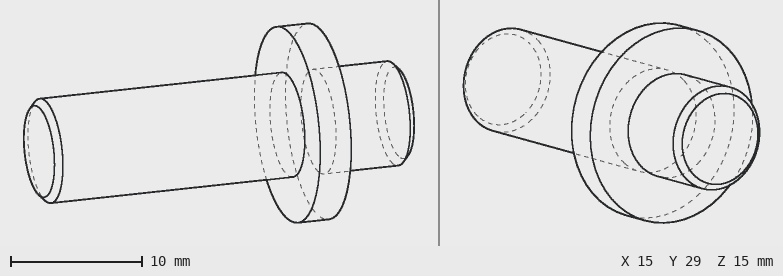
import cadquery as cq

pin_diameter = 8.0
collar_diameter = 15.0
collar_thickness = 2.5
front_length = 20.0
back_length = 6.5
end_chamfer = 0.5


def cylinder_along_y(diameter, y_start, length):
    """Solid cylinder on the Y axis, growing from y_start toward +Y."""
    base = cq.Workplane("XZ", origin=(0, y_start, 0))
    return base.circle(diameter / 2).extrude(-length)


def make_pin():
    """Full-length pin with both ends chamfered."""
    length = front_length + collar_thickness + back_length
    pin = cylinder_along_y(pin_diameter, -front_length, length)
    return pin.faces("<Y or >Y").chamfer(end_chamfer)


def make_collar():
    """Plain disc whose front face lies at Y = 0."""
    return cylinder_along_y(collar_diameter, 0, collar_thickness)


result = make_pin().union(make_collar())